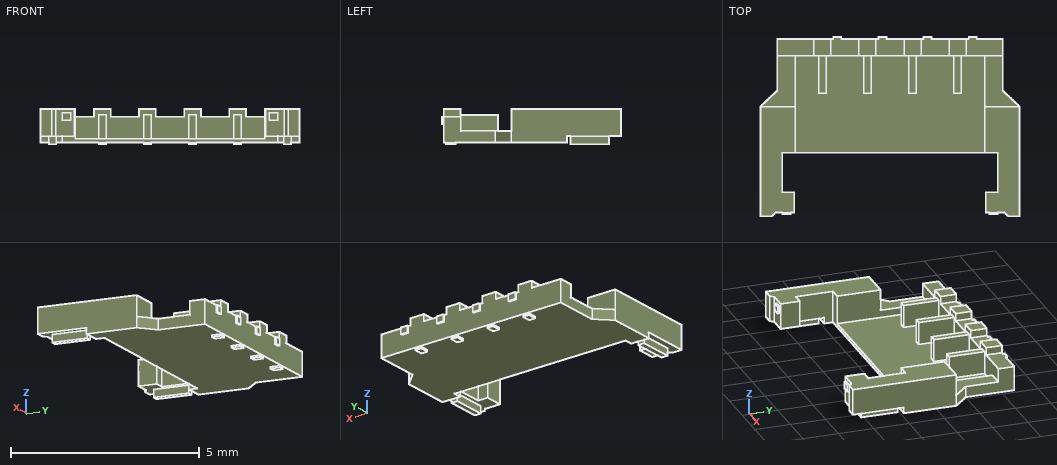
import cadquery as cq


body_half_width = 3.0
body_depth = 3.03
floor_thickness = 0.1
housing_height = 0.9

wall_thickness = 0.45
wall_height = 0.69
tooth_width = 0.45

contact_count = 4
contact_pitch = 1.2
rib_width = 0.2
rib_height = 0.735
rib_front_depth = 1.45

bump_width = 0.22
bump_height = 0.2
bump_projection = 0.05
bump_offset = 0.4

rail_inner_x = 2.525
rail_height = 0.31
arm_outer_x = 3.45
arm_inner_x = 2.86
arm_back_depth = 1.8
arm_front_depth = 4.72
taper_start_depth = 1.375
arm_underside_height = 0.17
underside_cut_depth = 3.28

hook_inner_x = 2.545
hook_back_depth = 4.075
hook_front_depth = 4.62
chamfer_size = arm_front_depth - hook_front_depth
arm_tip_inner_x = 3.14

nub_size = 0.2
nub_width = 0.22
nub_center_x = 2.75
nub_bottom = 0.59
nub_projection = 0.05

pad_drop = 0.05
pad_width = 0.2
arm_pad_center_x = 3.12
arm_pad_back_depth = 3.37
arm_pad_front_depth = 4.4
wall_pad_back_depth = 0.05
wall_pad_front_depth = 0.32

contact_positions = [
    (index - (contact_count - 1) / 2) * contact_pitch for index in range(contact_count)
]


def block(x_min, x_max, back_depth, front_depth, bottom, top):
    """Box between two X values, two depths and two heights."""
    size = (x_max - x_min, front_depth - back_depth, top - bottom)
    return cq.Workplane("XY").box(*size, centered=False).translate((x_min, -front_depth, bottom))


def centered_block(center_x, width, back_depth, front_depth, bottom, top):
    """Box of a given width about an X position."""
    half_width = width / 2
    return block(center_x - half_width, center_x + half_width, back_depth, front_depth, bottom, top)


def prism(outline, bottom, top):
    """Vertical prism over an outline of (x, depth) points."""
    points = [(x, -depth) for x, depth in outline]
    return cq.Workplane("XY").workplane(offset=bottom).polyline(points).close().extrude(top - bottom)


def make_base():
    """Floor plate joined to the back wall."""
    floor = block(-body_half_width, body_half_width, 0, body_depth, 0, floor_thickness)
    wall = block(-body_half_width, body_half_width, 0, wall_thickness, 0, wall_height)
    return floor.union(wall)


def make_contact_features(x):
    """Tooth on the wall, rib in front of it, pad below it and bump behind the wall."""
    tooth = centered_block(x, tooth_width, 0, wall_thickness, 0, housing_height)
    rib = centered_block(x, rib_width, 0, rib_front_depth, 0, rib_height)
    pad = centered_block(x, pad_width, wall_pad_back_depth, wall_pad_front_depth, -pad_drop, floor_thickness)
    bump = centered_block(
        x + bump_offset, bump_width, -bump_projection, wall_thickness, wall_height - bump_height, wall_height
    )
    return tooth.union(rib).union(pad).union(bump)


def make_side():
    """Right-hand rail and arm with its hook, nub and pad."""
    rail = prism(
        [
            (rail_inner_x, 0),
            (body_half_width, 0),
            (body_half_width, taper_start_depth),
            (arm_outer_x, arm_back_depth),
            (rail_inner_x, arm_back_depth),
        ],
        0,
        rail_height,
    )
    arm = prism(
        [
            (rail_inner_x, arm_back_depth),
            (arm_outer_x, arm_back_depth),
            (arm_outer_x, arm_front_depth),
            (arm_tip_inner_x, arm_front_depth),
            (arm_tip_inner_x - chamfer_size, hook_front_depth),
            (hook_inner_x, hook_front_depth),
            (hook_inner_x, hook_back_depth),
            (arm_inner_x, hook_back_depth),
            (arm_inner_x, body_depth),
            (rail_inner_x, body_depth),
        ],
        0,
        housing_height,
    )
    underside_cut = block(
        hook_inner_x, arm_outer_x, underside_cut_depth, arm_front_depth, 0, arm_underside_height
    )
    nub = centered_block(
        nub_center_x,
        nub_width,
        hook_back_depth,
        hook_front_depth + nub_projection,
        nub_bottom,
        nub_bottom + nub_size,
    )
    pad = centered_block(
        arm_pad_center_x,
        pad_width,
        arm_pad_back_depth,
        arm_pad_front_depth,
        -pad_drop,
        housing_height,
    )
    return rail.union(arm).cut(underside_cut).union(nub).union(pad)


right_side = make_side()
left_side = right_side.mirror("YZ")

result = make_base().union(right_side).union(left_side)
for contact_x in contact_positions:
    result = result.union(make_contact_features(contact_x))